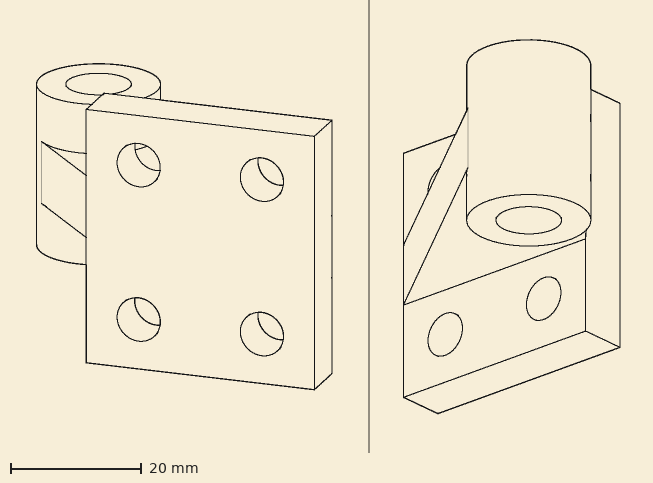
import cadquery as cq
import math

total_length = 56.0
total_depth = 41.5

plate_width = 37.0
plate_height = 41.0
plate_thickness = 8.0
hole_diameter = 7.0
hole_spacing_x = 20.0
hole_spacing_z = 25.0

barrel_diameter = 19.0
barrel_height = 26.0
bore_diameter = 10.0

arm_height = 10.0

plate_left = total_length - plate_width
plate_center_x = plate_left + plate_width / 2
barrel_radius = barrel_diameter / 2
barrel_x = barrel_radius
barrel_y = total_depth - barrel_radius


def tangent_point(corner_x, corner_y, side):
    """Point where a line from the corner touches the barrel; side is +1 or -1."""
    dx = corner_x - barrel_x
    dy = corner_y - barrel_y
    angle = math.atan2(dy, dx) + side * math.acos(barrel_radius / math.hypot(dx, dy))
    return (
        barrel_x + barrel_radius * math.cos(angle),
        barrel_y + barrel_radius * math.sin(angle),
    )


def make_plate():
    plate = cq.Workplane("XY").box(
        plate_width, plate_thickness, plate_height, centered=(True, False, True)
    )
    plate = (
        plate.faces("<Y")
        .workplane(centerOption="CenterOfBoundBox")
        .rarray(hole_spacing_x, hole_spacing_z, 2, 2)
        .hole(hole_diameter)
    )
    return plate.translate((plate_center_x, 0, 0))


def make_vertical_cylinder(diameter):
    return (
        cq.Workplane("XY")
        .cylinder(barrel_height, diameter / 2)
        .translate((barrel_x, barrel_y, 0))
    )


def make_arm():
    """Tapered web whose sides run from the plate's rear corners tangent to the barrel."""
    left_corner = (plate_left, plate_thickness)
    right_corner = (total_length, plate_thickness)
    outline = [
        left_corner,
        right_corner,
        tangent_point(*right_corner, 1),
        (barrel_x, barrel_y),
        tangent_point(*left_corner, -1),
    ]
    return cq.Workplane("XY").polyline(outline).close().extrude(arm_height / 2, both=True)


barrel = make_vertical_cylinder(barrel_diameter)
bore = make_vertical_cylinder(bore_diameter)
result = make_plate().union(make_arm()).union(barrel).cut(bore)